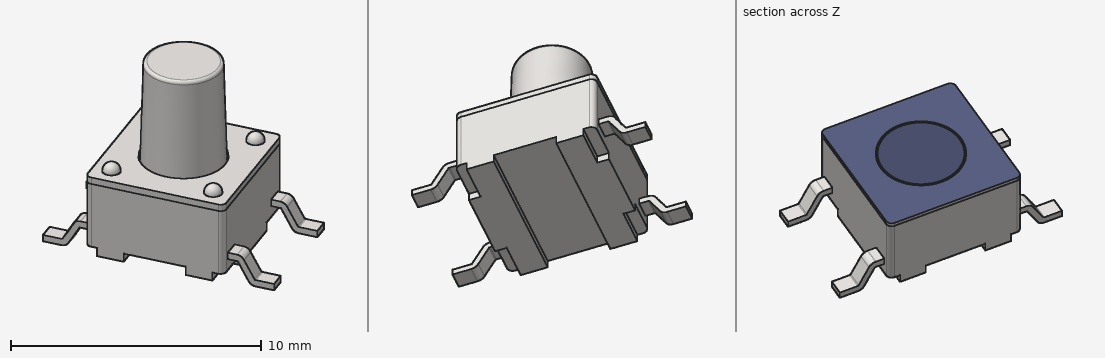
import cadquery as cq
import math

housing_side = 6.0
corner_radius = 0.25
pad_bottom_z = 0.1
block_bottom_z = 0.48
block_top_z = 3.4
slot_width = 2.68
corner_notch_x = 0.5
corner_notch_y = 1.55

leg_span = 10.0
leg_width = 0.7
leg_thickness = 0.3
leg_spacing_y = 4.5
leg_top_z = 1.3
bend_start_x = 3.39
bend_angle = math.radians(60)
inner_bend_radius = 0.05

cover_top_z = 3.7
cover_hole_diameter = 3.6
rivet_diameter = 0.75
rivet_spacing = 4.4

button_bottom_diameter = 3.5
button_top_diameter = 3.23
button_top_z = 8.1
button_edge_radius = 0.15


def square_block(bottom_z, top_z):
    """Square block with rounded upright corners."""
    return (
        cq.Workplane("XY", origin=(0, 0, bottom_z))
        .rect(housing_side, housing_side)
        .extrude(top_z - bottom_z)
        .edges("|Z")
        .fillet(corner_radius)
    )


def make_pads():
    """Two pads under the block, parted by a slot along Y and notched at the outer corners."""
    pad_height = block_bottom_z - pad_bottom_z
    plane = cq.Workplane("XY", origin=(0, 0, pad_bottom_z))
    full_depth = plane.rect(housing_side - 2 * corner_notch_x, housing_side).extrude(pad_height)
    full_width = plane.rect(housing_side, housing_side - 2 * corner_notch_y).extrude(pad_height)
    slot = plane.rect(slot_width, housing_side).extrude(pad_height)
    return full_depth.union(full_width).cut(slot)


def make_leg():
    """Leg on the +X side, centred on Y = 0: shoulder, sloping shank and flat foot on Z = 0."""
    outer_bend_radius = inner_bend_radius + leg_thickness
    sine = math.sin(bend_angle)
    cosine = math.cos(bend_angle)

    bends_drop = (inner_bend_radius + outer_bend_radius) * (1 - cosine)
    shank_drop = leg_top_z - leg_thickness - bends_drop
    bends_run = (inner_bend_radius + outer_bend_radius) * sine
    bend_end_x = bend_start_x + bends_run + shank_drop / math.tan(bend_angle)

    upper_center_z = leg_top_z - outer_bend_radius
    lower_center_z = outer_bend_radius

    def upper_bend_end(radius):
        return (bend_start_x + radius * sine, upper_center_z + radius * cosine)

    def lower_bend_start(radius):
        return (bend_end_x - radius * sine, lower_center_z - radius * cosine)

    root_x = housing_side / 2
    tip_x = leg_span / 2
    return (
        cq.Workplane("XZ")
        .moveTo(root_x, leg_top_z)
        .lineTo(bend_start_x, leg_top_z)
        .radiusArc(upper_bend_end(outer_bend_radius), outer_bend_radius)
        .lineTo(*lower_bend_start(inner_bend_radius))
        .radiusArc((bend_end_x, leg_thickness), -inner_bend_radius)
        .lineTo(tip_x, leg_thickness)
        .lineTo(tip_x, 0)
        .lineTo(bend_end_x, 0)
        .radiusArc(lower_bend_start(outer_bend_radius), outer_bend_radius)
        .lineTo(*upper_bend_end(inner_bend_radius))
        .radiusArc((bend_start_x, leg_top_z - leg_thickness), -inner_bend_radius)
        .lineTo(root_x, leg_top_z - leg_thickness)
        .close()
        .extrude(leg_width / 2, both=True)
    )


def make_housing():
    """Block, pads and the four legs as one body."""
    housing = square_block(block_bottom_z, block_top_z).union(make_pads())
    right_leg = make_leg()
    left_leg = right_leg.mirror("YZ")
    for y in (-leg_spacing_y / 2, leg_spacing_y / 2):
        for leg in (left_leg, right_leg):
            housing = housing.union(leg.translate((0, y, 0)))
    return housing


def make_cover():
    """Plate on the block with a central button hole and a domed rivet head at each corner."""
    rivets = (
        cq.Workplane("XY", origin=(0, 0, cover_top_z))
        .rect(rivet_spacing, rivet_spacing, forConstruction=True)
        .vertices()
        .sphere(rivet_diameter / 2)
    )
    head_space = (
        cq.Workplane("XY", origin=(0, 0, cover_top_z))
        .rect(housing_side, housing_side)
        .extrude(rivet_diameter)
    )
    plate = square_block(block_top_z, cover_top_z)
    button_hole = (
        cq.Workplane("XY", origin=(0, 0, block_top_z))
        .circle(cover_hole_diameter / 2)
        .extrude(cover_top_z - block_top_z)
    )
    return plate.cut(button_hole).union(rivets.intersect(head_space))


def make_button():
    """Tapered round button standing on the block, with a rounded top edge."""
    return (
        cq.Workplane("XY", origin=(0, 0, block_top_z))
        .circle(button_bottom_diameter / 2)
        .workplane(offset=button_top_z - block_top_z)
        .circle(button_top_diameter / 2)
        .loft(ruled=True)
        .faces(">Z")
        .edges()
        .fillet(button_edge_radius)
    )


housing = make_housing()
cover = make_cover()
button = make_button()

result = cq.Compound.makeCompound([housing.val(), cover.val(), button.val()])